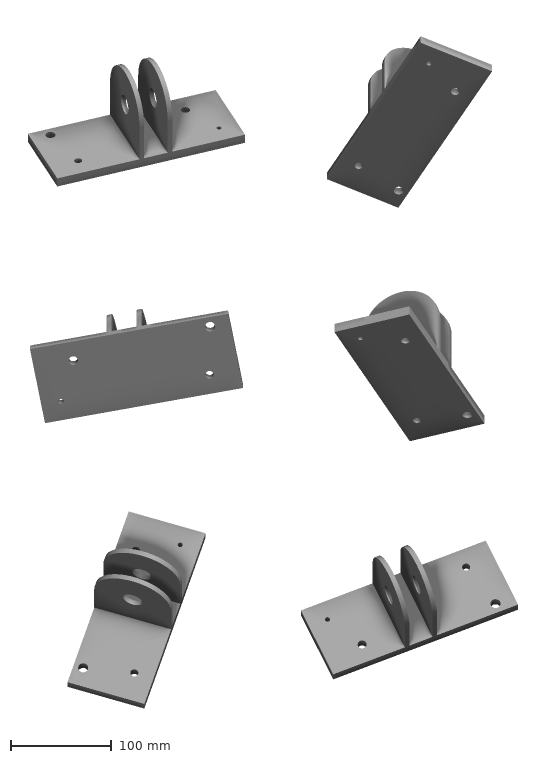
import cadquery as cq

width = 80.0
length = 200.0
base_thickness = 10.0

lug_thickness = 5.0
lug_gap = 25.0
lug_pair_center_y = 5.0
lug_radius = width / 2
pivot_height = 50.0
pivot_diameter = 20.0

mounting_holes = [
    (20.0, 80.0, 5.0),
    (-20.0, 60.0, 9.0),
    (20.0, -70.0, 8.0),
    (-30.0, -80.0, 10.0),
]


def make_base():
    base = cq.Workplane("XY").box(width, length, base_thickness, centered=(True, True, False))
    for x, y, diameter in mounting_holes:
        drill = cq.Workplane("XY").center(x, y).circle(diameter / 2).extrude(base_thickness)
        base = base.cut(drill)
    return base


def make_lug(center_y):
    """Lug with a semicircular top concentric with its pivot hole."""
    workplane = cq.Workplane("XZ", origin=(0, center_y + lug_thickness / 2, 0))
    lug = (
        workplane.moveTo(-lug_radius, base_thickness)
        .lineTo(lug_radius, base_thickness)
        .lineTo(lug_radius, pivot_height)
        .threePointArc((0, pivot_height + lug_radius), (-lug_radius, pivot_height))
        .close()
        .extrude(lug_thickness)
    )
    pivot = workplane.center(0, pivot_height).circle(pivot_diameter / 2).extrude(lug_thickness)
    return lug.cut(pivot)


lug_offset = (lug_gap + lug_thickness) / 2
result = make_base()
for side in (-1, 1):
    result = result.union(make_lug(lug_pair_center_y + side * lug_offset))